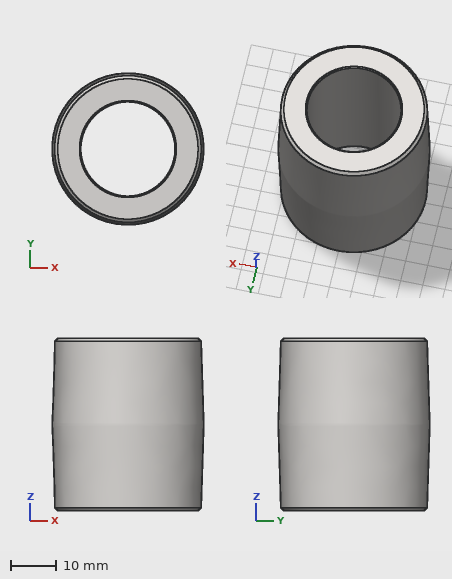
import cadquery as cq

height = 38.1
middle_diameter = 33.53
end_diameter = 32.4
bore_diameter = 20.8
band_height = 0.4
end_chamfer = 0.7
bore_chamfer = 0.3

half_height = height / 2
half_band = band_height / 2
middle_radius = middle_diameter / 2
end_radius = end_diameter / 2
bore_radius = bore_diameter / 2
shoulder_z = half_height - end_chamfer

section = (
    cq.Workplane("XZ")
    .moveTo(bore_radius, -half_height + bore_chamfer)
    .lineTo(bore_radius + bore_chamfer, -half_height)
    .lineTo(end_radius - end_chamfer, -half_height)
    .lineTo(end_radius, -shoulder_z)
    .lineTo(middle_radius, -half_band)
    .lineTo(middle_radius, half_band)
    .lineTo(end_radius, shoulder_z)
    .lineTo(end_radius - end_chamfer, half_height)
    .lineTo(bore_radius + bore_chamfer, half_height)
    .lineTo(bore_radius, half_height - bore_chamfer)
    .close()
)
result = section.revolve(360, (0, 0, 0), (0, 1, 0))